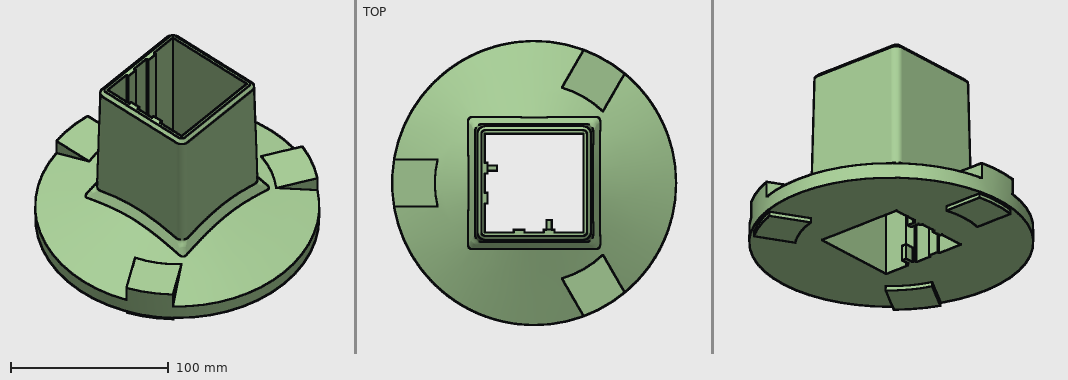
import cadquery as cq
import math

total_height = 120.0
foot_height = 3.0

flange_radius = 90.0
rim_top = 13.3
cone_angle = 21.55

post_base_side = 76.0
post_draft = 1.0
post_corner_radius = 5.0
post_top_chamfer = 2.5
post_root_chamfer = 4.5

bore_side = 62.4

pad_angles = (60.0, 180.0, 300.0)
pad_width = 30.0
block_top = 24.0
block_start = 50.0
block_bottom = (foot_height + rim_top) / 2
foot_inner_radius = 61.0
foot_outer_radius = 88.2

rib_offset = 9.5
rib_width = 7.0
rib_depth = 1.7
peg_width = 3.5
peg_reach = 7.8
peg_top = rim_top

overcut = 1.0

diagonal_tolerance = 0.05

cone_slope = math.tan(math.radians(cone_angle))
cone_apex = rim_top + cone_slope * flange_radius
post_height = total_height - foot_height


def bar(inner_radius, outer_radius, width, bottom, top):
    """Box along +X between two radii, centred on Y."""
    length = outer_radius - inner_radius
    middle = (inner_radius + outer_radius) / 2
    return (
        cq.Workplane("XY", origin=(middle, 0, bottom))
        .rect(length, width)
        .extrude(top - bottom)
    )


def spin(body, angle):
    """Turn a body about the part axis."""
    return body.rotate((0, 0, 0), (0, 0, 1), angle)


def make_flange():
    """Disc with a conical top and flat-topped blocks standing flush with the rim."""
    oversize = flange_radius + overcut
    flange = (
        cq.Workplane("XZ")
        .moveTo(0, foot_height)
        .lineTo(oversize, foot_height)
        .lineTo(oversize, rim_top - cone_slope * overcut)
        .lineTo(0, cone_apex)
        .close()
        .revolve(360, (0, 0), (0, 1))
    )
    for angle in pad_angles:
        block = bar(block_start, oversize + overcut, pad_width, block_bottom, block_top)
        flange = flange.union(spin(block, angle))
    return flange.intersect(cq.Workplane("XY").circle(flange_radius).extrude(total_height))


def make_post():
    """Drafted square post with sharp corners."""
    return (
        cq.Workplane("XY", origin=(0, 0, foot_height))
        .rect(post_base_side, post_base_side)
        .extrude(post_height, taper=post_draft)
    )


def near_post(bottom, top):
    """Selector for edges centred close to the post, between two heights."""
    reach = 0.6 * post_base_side
    return cq.selectors.BoxSelector((-reach, -reach, bottom), (reach, reach, top))


def is_corner(edge):
    """True for an edge centred on one of the diagonal planes of the post."""
    middle = edge.Center()
    on_diagonal = abs(abs(middle.x) - abs(middle.y)) < diagonal_tolerance
    return on_diagonal and abs(middle.x) > bore_side / 2


def make_body():
    """Flange and post joined, with a flared root, round corners and a chamfered top."""
    body = make_flange().union(make_post())
    body = body.edges(near_post(block_top, total_height / 2)).chamfer(post_root_chamfer)
    lifted = body.edges(near_post(block_top, total_height - overcut))
    body = lifted.filter(is_corner).fillet(post_corner_radius)
    return body.faces(">Z").chamfer(post_top_chamfer)


def make_foot(angle):
    """Foot under the flange, with straight sides and arcs at both ends."""
    foot = bar(foot_inner_radius / 2, flange_radius, pad_width, 0, foot_height)
    ring = (
        cq.Workplane("XY")
        .circle(foot_outer_radius)
        .circle(foot_inner_radius)
        .extrude(foot_height)
    )
    return spin(foot.intersect(ring), angle)


def make_bore():
    """Square through-opening, less the ribs and pegs left standing on two walls."""
    bottom = foot_height - overcut
    top = total_height + overcut
    wall = bore_side / 2
    outside = wall + overcut
    bore = cq.Workplane("XY", origin=(0, 0, bottom)).rect(bore_side, bore_side).extrude(top - bottom)
    for wall_angle, peg_side in ((180, -1), (270, 1)):
        for side in (-1, 1):
            rib = bar(wall - rib_depth, outside, rib_width, bottom, top)
            bore = bore.cut(spin(rib.translate((0, side * rib_offset, 0)), wall_angle))
        peg = bar(wall - peg_reach, outside, peg_width, foot_height, peg_top)
        bore = bore.cut(spin(peg.translate((0, peg_side * rib_offset, 0)), wall_angle))
    return bore


result = make_body().cut(make_bore())
for pad_angle in pad_angles:
    result = result.union(make_foot(pad_angle))